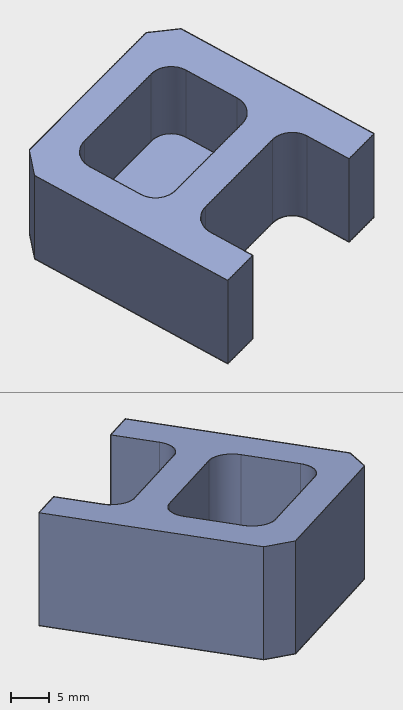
import cadquery as cq

length = 34.05
width = 31.75
height = 15.9
corner_chamfer = 3.2

side_wall = 5.45
opening_width = width - 2 * side_wall
corner_radius = 3.2

front_wall = 4.8
pocket_length = 14.55
middle_wall = 4.8
pocket_depth = 12.8

slot_start = front_wall + pocket_length + middle_wall


def make_block():
    """Block with its left end at X = 0 and both left vertical edges chamfered."""
    block = cq.Workplane("XY").box(length, width, height, centered=(False, True, False))
    return block.edges("|Z and <X").chamfer(corner_chamfer)


def make_pocket():
    """Rounded blind pocket, open at the top."""
    pocket = cq.Workplane("XY").box(pocket_length, opening_width, pocket_depth, centered=(False, True, False))
    pocket = pocket.edges("|Z").fillet(corner_radius)
    return pocket.translate((front_wall, 0, height - pocket_depth))


def make_slot():
    """Full-height slot open at the right end, with rounded inner corners."""
    slot = cq.Workplane("XY").box(length - slot_start, opening_width, height, centered=(False, True, False))
    return slot.edges("|Z and <X").fillet(corner_radius).translate((slot_start, 0, 0))


result = make_block().cut(make_pocket()).cut(make_slot())